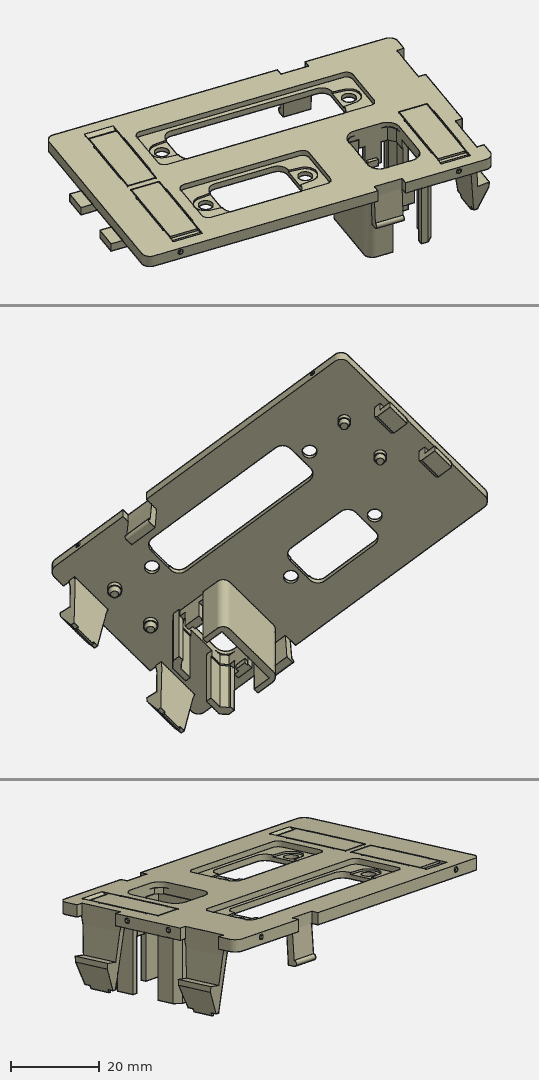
import cadquery as cq

PLATE_WIDTH = 51.4
PLATE_LENGTH = 87.5
PLATE_THICKNESS = 2.9
PLATE_CORNER_RADIUS = 2.1
UNDERSIDE = -PLATE_THICKNESS

CONNECTOR_X = 11.2
CONNECTOR_FRONT = 18.55
LONG_RECESS_LENGTH = 54.2
SHORT_RECESS_LENGTH = 32.2
RECESS_WIDTH = 13.9
RECESS_DEPTH = 1.4
RECESS_CORNER_RADIUS = 1.6
OPENING_WIDTH = 11.6
OPENING_MARGIN = 6.3
OPENING_CORNER_RADIUS = 2.4
SCREW_MARGIN = 3.6
SCREW_HOLE_DIAMETER = 3.35
SCREW_SEAT_RADIUS = 2.8
SCREW_SEAT_BASE_HALF = 3.1
SCREW_SEAT_DEPTH = 0.45

POCKET_WIDTH = 7.2
POCKET_DEPTH = 0.5
POCKET_INNER_X = 0.7
POCKET_FLOOR_END_X = 21.6
POCKET_RAMP_END_X = 22.8
POCKET_RELIEF_X = (4.1, 17.65)
POCKET_RELIEF = 0.2
LABEL_CLEARANCE = 0.2
LABEL_END_X = 20.7
FRONT_LABEL_Y = 12.0
REAR_LABEL_Y = 79.3
LABEL_PLACES = [(-1, FRONT_LABEL_Y), (1, FRONT_LABEL_Y), (1, REAR_LABEL_Y)]

JACK_X = 10.8
JACK_WIDTH = 15.75
JACK_FRONT = 60.6
JACK_REAR = 73.4
JACK_CORNER_RADIUS = 3.0
JACK_ROUNDED_DEPTH = 1.4
JACK_CHAMFER = 1.45
SKIRT_HALF_WIDTH = 9.5
SKIRT_FRONT = 58.5
SKIRT_REAR = 75.0
SKIRT_BOTTOM = -22.8
SKIRT_WALL = 1.4
SKIRT_FRONT_WALL = 1.8
SKIRT_CORNER = 2.1
SKIRT_REAR_CHAMFER = 1.45
REAR_GAP_WIDTH = 7.15
WINDOW_Y = 68.3
WINDOW_LENGTH = 7.1
WINDOW_TOP = -5.25
WEB_INSET = 0.4
TONGUE_LENGTH = 4.1
TONGUE_BOTTOM = -11.0
BUMP_Y = 67.9
BUMP_LENGTH = 2.6
BUMP_HEIGHT = 1.8
BUMP_REACH = 0.8

HOOK_X = 14.9
HOOK_NOTCH_WIDTH = 11.0
HOOK_NOTCH_DEPTH = 1.8
HOOK_ROOT_HALF = 5.8
HOOK_TOP_HALF = 5.3
HOOK_FLARE_Z = -4.9
HOOK_LOW_HALF = 4.1
HOOK_LOW_Z = -18.6
HOOK_NIB_HALF = 2.6
HOOK_TIP_Z = -19.5
HOOK_REACH = 1.7

CLIP_FRONT = 58.3
CLIP_REAR = 65.25
CLIP_NOTCH_DEPTH = 1.8
CLIP_BOTTOM = -11.3

TAB_X = 7.7
TAB_WIDTH = 5.8
TAB_REACH = 1.3
TAB_LEG_OUTER = 1.7
TAB_LEG_INNER = 3.4
TAB_TOP = -5.5
TAB_BOTTOM = -7.6
TAB_CHAMFER = 0.8

STUD_XS = (-12.5, -0.1)
FRONT_STUD_Y = 10.8
REAR_STUD_Y = 79.2
FRONT_STUD_RADIUS = 1.45
REAR_STUD_RADIUS = 1.6
STUD_STEP = 0.2
STUD_TIP_RADIUS = 0.9
STUD_STEP_Z = -4.2
STUD_TIP_Z = -5.5
PIP_RADIUS = 0.6
PIP_TAPER = 45
PIP_HEIGHT = 0.23
PIP_Z = -1.1
SIDE_PIP_YS = (8.8, 78.6)
REAR_PIP_X = 6.0


def block(x_range, y_range, z_range):
    """Box between two X, two Y and two Z values."""
    x0, x1 = x_range
    y0, y1 = y_range
    z0, z1 = z_range
    return cq.Workplane("XY").box(x1 - x0, y1 - y0, z1 - z0, centered=False).translate((x0, y0, z0))


def rounded_block(x_mid, width, y_range, z_range, radius):
    """Block centred on x_mid with rounded vertical edges."""
    half = width / 2
    return block((x_mid - half, x_mid + half), y_range, z_range).edges("|Z").fillet(radius)


def mirrored_if_left(shape, side):
    """The shape itself for side +1, its mirror image across X = 0 for side -1."""
    return shape if side > 0 else shape.mirror("YZ")


def plate_blank():
    blank = rounded_block(0, PLATE_WIDTH, (0, PLATE_LENGTH), (UNDERSIDE, 0), PLATE_CORNER_RADIUS)
    edge_x = PLATE_WIDTH / 2
    for side in (-1, 1):
        half_notch = HOOK_NOTCH_WIDTH / 2
        hook_notch = block(
            (side * HOOK_X - half_notch, side * HOOK_X + half_notch),
            (PLATE_LENGTH - HOOK_NOTCH_DEPTH, PLATE_LENGTH),
            (UNDERSIDE, 0),
        )
        clip_notch = block((edge_x - CLIP_NOTCH_DEPTH, edge_x), (CLIP_FRONT, CLIP_REAR), (UNDERSIDE, 0))
        blank = blank.cut(hook_notch).cut(mirrored_if_left(clip_notch, side))
    return blank


def screw_cut(x, y, toward_opening):
    """Screw hole with a shallow seat that widens toward the opening."""
    reach = toward_opening * (OPENING_MARGIN - SCREW_MARGIN)
    seat_floor = -RECESS_DEPTH - SCREW_SEAT_DEPTH
    seat = (
        cq.Workplane("XY", origin=(x, y, seat_floor))
        .moveTo(-SCREW_SEAT_RADIUS, 0)
        .threePointArc((0, -toward_opening * SCREW_SEAT_RADIUS), (SCREW_SEAT_RADIUS, 0))
        .lineTo(SCREW_SEAT_BASE_HALF, reach)
        .lineTo(-SCREW_SEAT_BASE_HALF, reach)
        .close()
        .extrude(-seat_floor)
    )
    hole = cq.Workplane("XY", origin=(x, y, UNDERSIDE)).circle(SCREW_HOLE_DIAMETER / 2).extrude(PLATE_THICKNESS)
    return seat.union(hole)


def connector_cut(x, recess_length):
    """Recess, through opening and two screw seats for one connector."""
    front = CONNECTOR_FRONT
    rear = front + recess_length
    recess = rounded_block(x, RECESS_WIDTH, (front, rear), (-RECESS_DEPTH, 0), RECESS_CORNER_RADIUS)
    opening = rounded_block(
        x, OPENING_WIDTH, (front + OPENING_MARGIN, rear - OPENING_MARGIN), (UNDERSIDE, 0), OPENING_CORNER_RADIUS
    )
    front_screw = screw_cut(x, front + SCREW_MARGIN, 1)
    rear_screw = screw_cut(x, rear - SCREW_MARGIN, -1)
    return recess.union(opening).union(front_screw).union(rear_screw)


def label_pocket(side, y):
    """Shallow pocket with a finger ramp at its outer end and reliefs along its long sides."""
    half = POCKET_WIDTH / 2
    pocket = (
        cq.Workplane("XZ", origin=(0, y + half, 0))
        .moveTo(POCKET_INNER_X, 0)
        .lineTo(POCKET_INNER_X, -POCKET_DEPTH)
        .lineTo(POCKET_FLOOR_END_X, -POCKET_DEPTH)
        .lineTo(POCKET_RAMP_END_X, 0)
        .close()
        .extrude(POCKET_WIDTH)
    )
    relief_half = half + POCKET_RELIEF
    relief = block(POCKET_RELIEF_X, (y - relief_half, y + relief_half), (-POCKET_DEPTH, 0))
    return mirrored_if_left(pocket.union(relief), side)


def make_label(side, y):
    """Flat label lying on the floor of its pocket, flush with the plate."""
    half = POCKET_WIDTH / 2 - LABEL_CLEARANCE
    label = block((POCKET_INNER_X + LABEL_CLEARANCE, LABEL_END_X), (y - half, y + half), (-POCKET_DEPTH, 0))
    return mirrored_if_left(label, side)


def chamfered_jack(z_range):
    """Jack opening with chamfered corners, between two heights."""
    half = JACK_WIDTH / 2
    opening = block((JACK_X - half, JACK_X + half), (JACK_FRONT, JACK_REAR), z_range)
    return opening.edges("|Z").chamfer(JACK_CHAMFER)


def jack_cut():
    """Through opening, rounded near the top face and chamfered below."""
    rounded = rounded_block(
        JACK_X, JACK_WIDTH, (JACK_FRONT, JACK_REAR), (-JACK_ROUNDED_DEPTH, 0), JACK_CORNER_RADIUS
    )
    return rounded.union(chamfered_jack((UNDERSIDE, -JACK_ROUNDED_DEPTH)))


def inner_collar(skirt_inside):
    """Lining of the skirt's rear half that carries the jack opening down to the window tops."""
    z_range = (WINDOW_TOP, UNDERSIDE)
    rear_half = block(
        (JACK_X - SKIRT_HALF_WIDTH, JACK_X + SKIRT_HALF_WIDTH), (WINDOW_Y, SKIRT_REAR), z_range
    )
    return skirt_inside.intersect(rear_half).cut(chamfered_jack(z_range))


def skirt():
    """Walls around the jack opening, with a rear gap and a snap tongue in each side window."""
    z_range = (SKIRT_BOTTOM, UNDERSIDE)
    inner_half = SKIRT_HALF_WIDTH - SKIRT_WALL
    outer = block((JACK_X - SKIRT_HALF_WIDTH, JACK_X + SKIRT_HALF_WIDTH), (SKIRT_FRONT, SKIRT_REAR), z_range)
    outer = outer.edges("|Z and <Y").fillet(SKIRT_CORNER)
    outer = outer.edges("|Z and >Y").chamfer(SKIRT_REAR_CHAMFER)
    inner = block(
        (JACK_X - inner_half, JACK_X + inner_half),
        (SKIRT_FRONT + SKIRT_FRONT_WALL, SKIRT_REAR - SKIRT_WALL),
        z_range,
    )
    inner = inner.edges("|Z and >Y").chamfer(SKIRT_REAR_CHAMFER)
    walls = outer.cut(inner).union(inner_collar(inner))

    half_gap = REAR_GAP_WIDTH / 2
    walls = walls.cut(block((JACK_X - half_gap, JACK_X + half_gap), (WINDOW_Y, SKIRT_REAR), z_range))
    window_y = (WINDOW_Y - WINDOW_LENGTH / 2, WINDOW_Y + WINDOW_LENGTH / 2)
    walls = walls.cut(block((JACK_X - SKIRT_HALF_WIDTH, JACK_X + SKIRT_HALF_WIDTH), window_y, z_range))

    half_opening = JACK_WIDTH / 2
    web_x = (half_opening, SKIRT_HALF_WIDTH - WEB_INSET)
    tongue_y = (WINDOW_Y - TONGUE_LENGTH / 2, WINDOW_Y + TONGUE_LENGTH / 2)
    bump_y = (BUMP_Y - BUMP_LENGTH / 2, BUMP_Y + BUMP_LENGTH / 2)
    snap = block(web_x, window_y, (WINDOW_TOP, UNDERSIDE))
    snap = snap.union(block(web_x, tongue_y, (TONGUE_BOTTOM, UNDERSIDE)))
    bump_x = (half_opening - BUMP_REACH, half_opening)
    snap = snap.union(block(bump_x, bump_y, (TONGUE_BOTTOM, TONGUE_BOTTOM + BUMP_HEIGHT)))
    for side in (-1, 1):
        walls = walls.union(mirrored_if_left(snap, side).translate((JACK_X, 0, 0)))
    return walls


def rear_hook(x):
    """Barbed leg whose width tapers downward to a narrow nib."""
    leg_outer = PLATE_LENGTH - HOOK_NOTCH_DEPTH
    barb_outer = PLATE_LENGTH + HOOK_REACH
    profile = [
        (leg_outer, UNDERSIDE),
        (leg_outer, HOOK_FLARE_Z),
        (86.3, -11.9),
        (barb_outer, -11.5),
        (barb_outer, -12.85),
        (86.2, HOOK_TIP_Z),
        (85.7, HOOK_TIP_Z),
        (84.0, UNDERSIDE),
    ]
    side_shape = cq.Workplane("YZ").polyline(profile).close().extrude(HOOK_ROOT_HALF, both=True)
    front_outline = [
        (-HOOK_ROOT_HALF, UNDERSIDE),
        (-HOOK_TOP_HALF, HOOK_FLARE_Z),
        (-HOOK_LOW_HALF, HOOK_LOW_Z),
        (-HOOK_NIB_HALF, HOOK_LOW_Z),
        (-HOOK_NIB_HALF, HOOK_TIP_Z),
        (HOOK_NIB_HALF, HOOK_TIP_Z),
        (HOOK_NIB_HALF, HOOK_LOW_Z),
        (HOOK_LOW_HALF, HOOK_LOW_Z),
        (HOOK_TOP_HALF, HOOK_FLARE_Z),
        (HOOK_ROOT_HALF, UNDERSIDE),
    ]
    front_shape = cq.Workplane("XZ").polyline(front_outline).close().extrude(-2 * PLATE_LENGTH)
    return side_shape.intersect(front_shape).translate((x, 0, 0))


def side_clip(side):
    """Outward-leaning spring clip with a small rounded barb at its lower end."""
    clip = (
        cq.Workplane("XZ", origin=(0, CLIP_REAR, 0))
        .moveTo(22.2, UNDERSIDE)
        .lineTo(23.9, UNDERSIDE)
        .lineTo(24.4, -9.9)
        .threePointArc((25.1, -10.7), (24.2, CLIP_BOTTOM))
        .lineTo(22.7, CLIP_BOTTOM)
        .close()
        .extrude(CLIP_REAR - CLIP_FRONT)
    )
    return mirrored_if_left(clip, side)


def front_tab(x):
    """L-shaped tab that reaches forward below the plate."""
    profile = [
        (TAB_LEG_INNER, UNDERSIDE),
        (TAB_LEG_INNER, TAB_BOTTOM + TAB_CHAMFER),
        (TAB_LEG_INNER - TAB_CHAMFER, TAB_BOTTOM),
        (-TAB_REACH, TAB_BOTTOM),
        (-TAB_REACH, TAB_TOP),
        (TAB_LEG_OUTER, TAB_TOP),
        (TAB_LEG_OUTER, UNDERSIDE),
    ]
    return cq.Workplane("YZ", origin=(x, 0, 0)).polyline(profile).close().extrude(TAB_WIDTH / 2, both=True)


def stud(x, y, radius):
    """Stepped round stud with a tapered tip."""
    profile = [
        (0, UNDERSIDE),
        (radius, UNDERSIDE),
        (radius, STUD_STEP_Z),
        (radius - STUD_STEP, STUD_STEP_Z),
        (STUD_TIP_RADIUS, STUD_TIP_Z),
        (0, STUD_TIP_Z),
    ]
    turned = cq.Workplane("XZ").polyline(profile).close().revolve(360, (0, 0, 0), (0, 1, 0))
    return turned.translate((x, y, 0))


def pip(base, outward):
    """Small cone frustum standing on an edge face of the plate."""
    face = cq.Plane(origin=base, xDir=(0, 0, 1), normal=outward)
    return cq.Workplane(face).circle(PIP_RADIUS).extrude(PIP_HEIGHT, taper=PIP_TAPER)


def make_plate():
    plate = plate_blank()
    plate = plate.cut(connector_cut(-CONNECTOR_X, LONG_RECESS_LENGTH))
    plate = plate.cut(connector_cut(CONNECTOR_X, SHORT_RECESS_LENGTH))
    plate = plate.cut(jack_cut())
    for side, y in LABEL_PLACES:
        plate = plate.cut(label_pocket(side, y))

    plate = plate.union(skirt())
    for side in (-1, 1):
        plate = plate.union(rear_hook(side * HOOK_X))
        plate = plate.union(side_clip(side))
        plate = plate.union(front_tab(side * TAB_X))
    for x in STUD_XS:
        plate = plate.union(stud(x, FRONT_STUD_Y, FRONT_STUD_RADIUS))
        plate = plate.union(stud(x, REAR_STUD_Y, REAR_STUD_RADIUS))
    for side in (-1, 1):
        plate = plate.union(pip((side * REAR_PIP_X, PLATE_LENGTH, PIP_Z), (0, 1, 0)))
        for y in SIDE_PIP_YS:
            plate = plate.union(pip((side * PLATE_WIDTH / 2, y, PIP_Z), (side, 0, 0)))
    return plate


plate = make_plate()
labels = [make_label(side, y).val() for side, y in LABEL_PLACES]
result = cq.Compound.makeCompound([plate.val(), *labels])